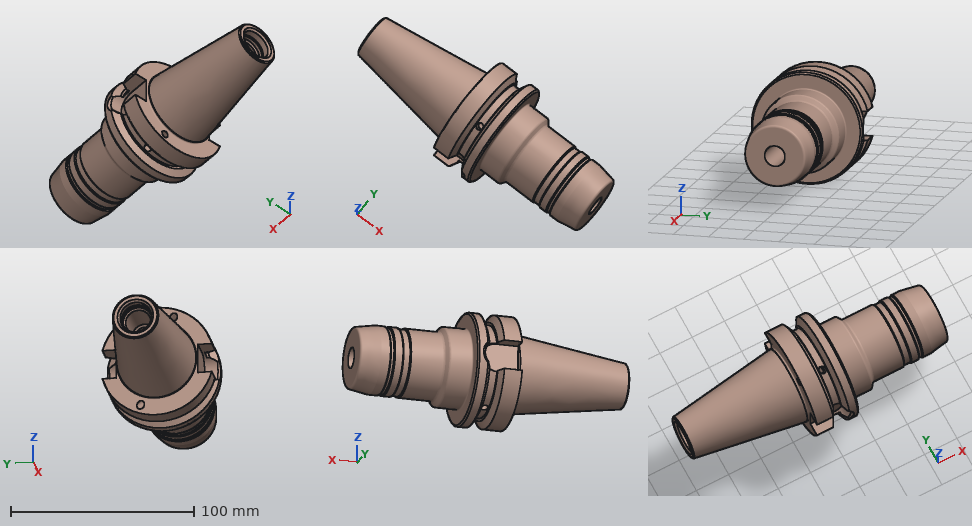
import cadquery as cq
import math


overall_length = 155.4
gauge_length = 65.5
gauge_radius = 22.2
taper_ratio = 7 / 24
small_end_radius = gauge_radius - gauge_length * taper_ratio / 2
small_end_chamfer = 0.6
neck_radius = 21.9
neck_fillet = 0.6

flange_start = 67.0
flange_end = 92.5
flange_radius = 31.47
flange_rear_chamfer = 1.0
groove_center = 81.9
groove_top_width = 9.6
groove_floor_width = 4.7
groove_floor_radius = 25.6
groove_flank_slope = math.tan(math.radians(60))
groove_flank_drop = (groove_top_width - groove_floor_width) / 2 * groove_flank_slope
groove_flank_foot_radius = flange_radius - groove_flank_drop

hub_radius = 22.2
hub_end = 105.5
hub_chamfer_length = 2.3
hub_root_fillet = 0.8
hub_edge_fillet = 1.2
hub_foot_fillet = 1.4

body_radius = 19.1
ring_depth = 0.6
ring_spans = [(126.8, 131.6), (136.0, 138.8)]
nose_start = 143.9
nose_radius = 17.1
nose_fillet = 1.4

pilot_mouth_radius = 10.0
pilot_radius = 8.7
pilot_depth = 5.1
thread_mouth_radius = 8.1
thread_mouth_depth = 7.8
thread_bore_radius = 7.0
thread_bore_depth = 29.5
through_radius = 5.7

slot_width = 16.5
slot_floor = 22.7
slot_round_center = 79.7
slot_chamfer = 1.4

coolant_diameter = 4.0
coolant_angle = 20.0
coolant_face_radius = 26.7
coolant_slope_angle = 35.0


def make_body():
    """Revolve the outer profile of the holder about X."""
    groove_top_start = groove_center - groove_top_width / 2
    groove_top_end = groove_center + groove_top_width / 2
    groove_floor_start = groove_center - groove_floor_width / 2
    groove_floor_end = groove_center + groove_floor_width / 2
    hub_chamfer_end = hub_end + hub_chamfer_length
    profile = (
        cq.Workplane("XZ")
        .moveTo(0, 0)
        .lineTo(0, small_end_radius - small_end_chamfer)
        .lineTo(small_end_chamfer, small_end_radius + small_end_chamfer * taper_ratio / 2)
        .lineTo(gauge_length, gauge_radius)
        .lineTo(gauge_length, neck_radius)
        .lineTo(flange_start - neck_fillet, neck_radius)
        .radiusArc((flange_start, neck_radius + neck_fillet), -neck_fillet)
        .lineTo(flange_start, flange_radius)
        .lineTo(groove_top_start, flange_radius)
        .lineTo(groove_floor_start, groove_flank_foot_radius)
        .lineTo(groove_floor_start, groove_floor_radius)
        .lineTo(groove_floor_end, groove_floor_radius)
        .lineTo(groove_floor_end, groove_flank_foot_radius)
        .lineTo(groove_top_end, flange_radius)
        .lineTo(flange_end - flange_rear_chamfer, flange_radius)
        .lineTo(flange_end, flange_radius - flange_rear_chamfer)
        .lineTo(flange_end, hub_radius + hub_root_fillet)
        .radiusArc((flange_end + hub_root_fillet, hub_radius), -hub_root_fillet)
        .lineTo(hub_end, hub_radius)
        .lineTo(hub_chamfer_end, body_radius)
        .lineTo(nose_start, body_radius)
        .lineTo(overall_length, nose_radius)
        .lineTo(overall_length, 0)
        .close()
    )
    return profile.revolve(360, (0, 0, 0), (1, 0, 0))


def circle_edge_at(x, radius):
    """Selector for the edges lying in a thin ring of the given place and radius."""
    reach = 0.08
    return cq.selectors.BoxSelector(
        (x - reach, -radius - reach, -radius - reach),
        (x + reach, radius + reach, radius + reach),
        boundingbox=True,
    )


def round_body(body):
    """Round the hub shoulder, its foot and the nose."""
    body = body.edges(circle_edge_at(hub_end, hub_radius)).fillet(hub_edge_fillet)
    body = body.edges(circle_edge_at(hub_end + hub_chamfer_length, body_radius)).fillet(hub_foot_fillet)
    return body.edges(circle_edge_at(overall_length, nose_radius)).fillet(nose_fillet)


def make_ring_groove(start, end):
    """Shallow ring groove with 45 degree sides."""
    floor_radius = body_radius - ring_depth
    return (
        cq.Workplane("XY")
        .polyline([
            (start, body_radius),
            (start + ring_depth, floor_radius),
            (end - ring_depth, floor_radius),
            (end, body_radius),
        ])
        .close()
        .revolve(360, (0, 0, 0), (1, 0, 0))
    )


def make_bore():
    """Stepped bore through the whole length."""
    pilot_cone = pilot_mouth_radius - pilot_radius
    thread_mouth_cone = pilot_radius - thread_mouth_radius
    thread_cone = thread_mouth_radius - thread_bore_radius
    through_cone = thread_bore_radius - through_radius
    return (
        cq.Workplane("XY")
        .polyline([
            (0, 0),
            (0, pilot_mouth_radius),
            (pilot_cone, pilot_radius),
            (pilot_depth, pilot_radius),
            (pilot_depth + thread_mouth_cone, thread_mouth_radius),
            (thread_mouth_depth, thread_mouth_radius),
            (thread_mouth_depth + thread_cone, thread_bore_radius),
            (thread_bore_depth, thread_bore_radius),
            (thread_bore_depth + through_cone, through_radius),
            (overall_length, through_radius),
            (overall_length, 0),
        ])
        .close()
        .revolve(360, (0, 0, 0), (1, 0, 0))
    )


def make_drive_slot():
    """Round-ended slot on the +Y side, with a chamfered outer rim on the round end."""
    radius = slot_width / 2
    depth = flange_radius - slot_floor
    floor = cq.Workplane("XZ", origin=(slot_round_center, slot_floor, 0))
    round_end = floor.circle(radius).extrude(-depth)
    straight_length = slot_round_center - flange_start
    straight = floor.center(-straight_length / 2, 0).rect(straight_length, slot_width).extrude(-depth)
    rim = (
        cq.Workplane("XY")
        .polyline([
            (0, flange_radius - slot_chamfer),
            (radius, flange_radius - slot_chamfer),
            (radius + slot_chamfer, flange_radius),
            (0, flange_radius),
        ])
        .close()
        .revolve(360, (0, 0, 0), (0, 1, 0))
        .translate((slot_round_center, 0, 0))
    )
    behind_groove = cq.Workplane("XY").box(
        2 * flange_radius, 2 * flange_radius, 2 * flange_radius, centered=(False, True, True)
    ).translate((groove_center, 0, 0))
    return round_end.union(straight).union(rim.intersect(behind_groove))


def make_coolant_channel():
    """Sloped hole from the flange face meeting a radial hole from the groove floor."""
    radius = coolant_diameter / 2
    slope = math.radians(coolant_slope_angle)
    run = groove_center - flange_start
    meeting_radius = coolant_face_radius - run * math.tan(slope)
    direction = cq.Vector(math.cos(slope), 0, -math.sin(slope))
    lead_in = coolant_diameter
    end_overlap = radius * math.tan(slope)
    start = cq.Vector(flange_start, 0, coolant_face_radius) - direction * lead_in
    sloped_length = lead_in + run / math.cos(slope) + end_overlap
    sloped = cq.Solid.makeCylinder(radius, sloped_length, start, direction)
    radial = cq.Solid.makeCylinder(
        radius,
        flange_radius - meeting_radius,
        cq.Vector(groove_center, 0, meeting_radius),
        cq.Vector(0, 0, 1),
    )
    channel = cq.Workplane(obj=sloped).union(cq.Workplane(obj=radial))
    return channel.rotate((0, 0, 0), (1, 0, 0), coolant_angle)


result = round_body(make_body())
for ring_start, ring_end in ring_spans:
    result = result.cut(make_ring_groove(ring_start, ring_end))
result = result.cut(make_bore())

for turn in (0, 180):
    result = result.cut(make_drive_slot().rotate((0, 0, 0), (1, 0, 0), turn))
    result = result.cut(make_coolant_channel().rotate((0, 0, 0), (1, 0, 0), turn))